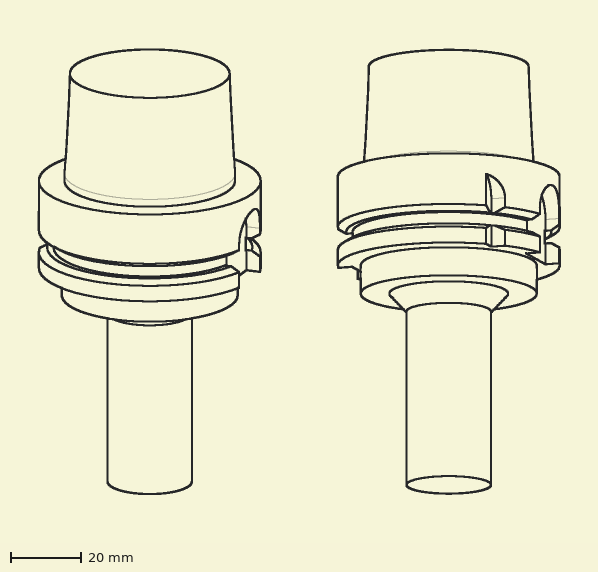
import cadquery as cq

SHANK_TOP = 50.3
COLLAR_BOTTOM = 55.5
FLANGE_BOTTOM = 63.7
FLANGE_TOP = 89.5
TAPER_START = 91.7
TOTAL_HEIGHT = 121.5

SHANK_RADIUS = 24.0 / 2
NECK_RADIUS = 16.9
COLLAR_RADIUS = 50.0 / 2
FLANGE_RADIUS = 63.0 / 2
TAPER_BASE_RADIUS = 48.5 / 2
TAPER_TOP_RADIUS = 22.7

GROOVE_BOTTOM = 69.7
GROOVE_TOP = 73.4
GROOVE_RADIUS = 27.3
GROOVE_LIP_RADIUS = 29.2
GROOVE_CHAMFER_HEIGHT = 1.5

SLOT_TOP = 84.6
SLOT_WIDTH = 15.8
SLOT_FLOOR = 26.4

NOTCH_WIDTH = 14.0
NOTCH_WALL_Y = 19.9
NOTCH_FLOOR = 20.3


def turned_body():
    """Shank, neck, collar, grooved flange and taper as one revolved profile."""
    profile = [
        (0, 0),
        (SHANK_RADIUS, 0),
        (SHANK_RADIUS, SHANK_TOP),
        (NECK_RADIUS, COLLAR_BOTTOM),
        (COLLAR_RADIUS, COLLAR_BOTTOM),
        (COLLAR_RADIUS, FLANGE_BOTTOM),
        (FLANGE_RADIUS, FLANGE_BOTTOM),
        (FLANGE_RADIUS, GROOVE_BOTTOM - GROOVE_CHAMFER_HEIGHT),
        (GROOVE_LIP_RADIUS, GROOVE_BOTTOM),
        (GROOVE_RADIUS, GROOVE_BOTTOM),
        (GROOVE_RADIUS, GROOVE_TOP),
        (GROOVE_LIP_RADIUS, GROOVE_TOP),
        (FLANGE_RADIUS, GROOVE_TOP + GROOVE_CHAMFER_HEIGHT),
        (FLANGE_RADIUS, FLANGE_TOP),
        (TAPER_BASE_RADIUS, FLANGE_TOP),
        (TAPER_BASE_RADIUS, TAPER_START),
        (TAPER_TOP_RADIUS, TOTAL_HEIGHT),
        (0, TOTAL_HEIGHT),
    ]
    return cq.Workplane("XZ").polyline(profile).close().revolve(360, (0, 0), (0, 1))


def round_topped_cutter(center_y, width, floor):
    """Slot from the flange bottom to a round top, from X = floor out past the rim."""
    radius = width / 2
    spring_line = SLOT_TOP - radius
    return (
        cq.Workplane("YZ", origin=(floor, center_y, 0))
        .moveTo(-radius, FLANGE_BOTTOM)
        .lineTo(-radius, spring_line)
        .threePointArc((0, SLOT_TOP), (radius, spring_line))
        .lineTo(radius, FLANGE_BOTTOM)
        .close()
        .extrude(FLANGE_RADIUS)
    )


drive_slot = round_topped_cutter(0, SLOT_WIDTH, SLOT_FLOOR)
notch_center_y = NOTCH_WALL_Y + NOTCH_WIDTH / 2
notch = round_topped_cutter(notch_center_y, NOTCH_WIDTH, NOTCH_FLOOR).mirror("YZ")

result = turned_body().cut(drive_slot).cut(drive_slot.mirror("YZ")).cut(notch)